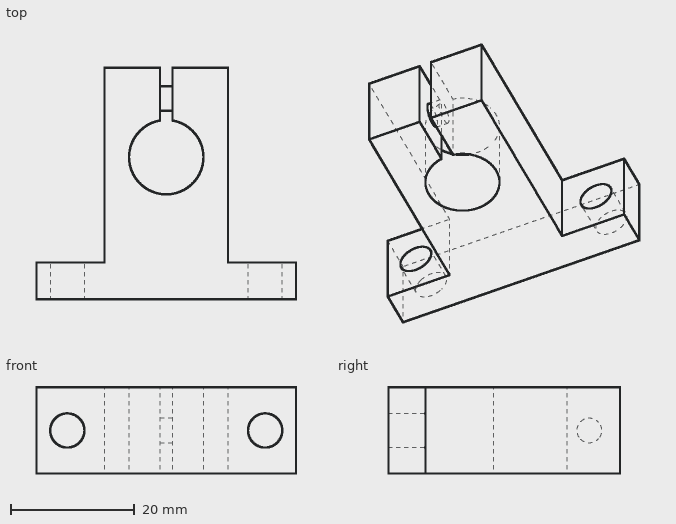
import cadquery as cq

base_width = 42.0
base_thickness = 6.0
height = 14.0
mount_hole_diameter = 5.5
mount_hole_spacing = 32.0

block_width = 20.0
overall_depth = 37.5

bore_diameter = 12.0
bore_distance = 23.0
slot_width = 2.0

screw_diameter = 4.0
screw_distance = 32.5
screw_embed = 1.0
screw_length = slot_width + 2 * screw_embed

mid_height = height / 2


def make_box(width, start_y, end_y):
    """Full-height box centred on X, between two Y positions."""
    return (
        cq.Workplane("XY", origin=(0, start_y, 0))
        .box(width, end_y - start_y, height, centered=(True, False, False))
    )


def make_body():
    """T-shaped body: mounting base plus clamp block."""
    base = make_box(base_width, 0, base_thickness)
    block = make_box(block_width, 0, overall_depth)
    return base.union(block)


def make_bore_and_slot():
    """Vertical shaft bore and the slot from its axis to the block end."""
    bore = cq.Workplane("XY").center(0, bore_distance).circle(bore_diameter / 2).extrude(height)
    return bore.union(make_box(slot_width, bore_distance, overall_depth))


def make_mount_holes():
    """Pair of plain holes through the base along Y."""
    half_spacing = mount_hole_spacing / 2
    return (
        cq.Workplane("XZ")
        .pushPoints([(-half_spacing, mid_height), (half_spacing, mid_height)])
        .circle(mount_hole_diameter / 2)
        .extrude(-base_thickness)
    )


def make_screw():
    """Screw shank along X, joined to both slot walls."""
    return (
        cq.Workplane("YZ", origin=(-screw_length / 2, 0, 0))
        .center(screw_distance, mid_height)
        .circle(screw_diameter / 2)
        .extrude(screw_length)
    )


result = make_body().cut(make_bore_and_slot()).cut(make_mount_holes()).union(make_screw())